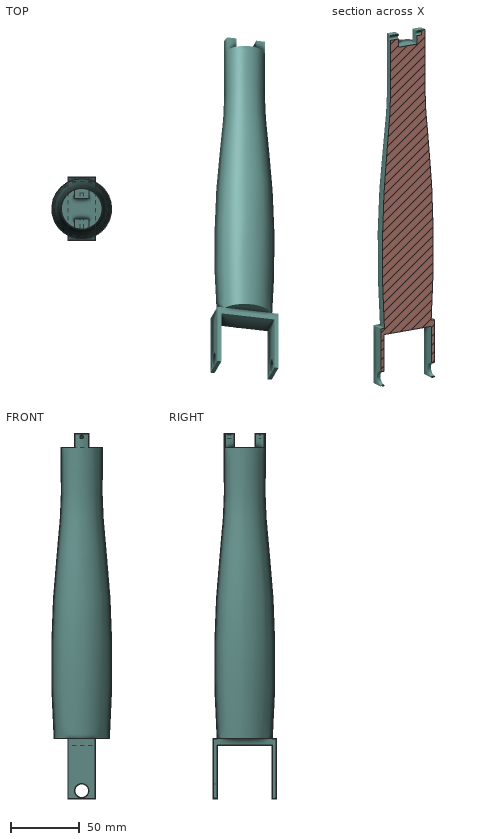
import cadquery as cq

bottom_radius = 20.1
joint_radius = 18.0
collar_radius = 15.0
barrel_length = 133.0
neck_length = 63.0
collar_length = 16.0

bottom_slope = 0.07
joint_slope = -0.111
neck_top_slope = 0.035

prong_height = 10.0
prong_width = 10.5
prong_gap = 15.0
pin_hole_diameter = 2.5
pin_hole_drop = 2.4
pin_blind_depth = 4.0

clevis_width = 20.0
clevis_span = 46.0
clevis_height = 44.0
clevis_leg_thickness = 3.0
clevis_web_thickness = 5.0
clevis_hole_diameter = 10.0
clevis_hole_rise = 6.0

collar_z = barrel_length + neck_length
body_top_z = collar_z + collar_length


def bore_along_y(diameter, z, y_start, y_end):
    """Cylinder along Y between two Y positions, centred on X = 0."""
    return (
        cq.Workplane("XZ", origin=(0, y_start, z))
        .circle(diameter / 2)
        .extrude(y_start - y_end)
    )


def make_body():
    """Revolved handle: convex barrel, concave neck and straight collar."""
    joint = (joint_radius, barrel_length)
    collar = (collar_radius, collar_z)
    bottom_tangent = (bottom_slope, 1)
    joint_tangent = (joint_slope, 1)
    neck_top_tangent = (neck_top_slope, 1)
    return (
        cq.Workplane("XZ")
        .lineTo(bottom_radius, 0)
        .spline([joint], tangents=[bottom_tangent, joint_tangent], includeCurrent=True)
        .spline([collar], tangents=[joint_tangent, neck_top_tangent], includeCurrent=True)
        .lineTo(collar_radius, body_top_z)
        .lineTo(0, body_top_z)
        .close()
        .revolve(360, (0, 0, 0), (0, 1, 0))
    )


def make_prongs():
    """Two blocks whose outer faces follow the collar cylinder."""
    inner_y = prong_gap / 2
    block_depth = collar_radius - inner_y
    block_y = inner_y + block_depth / 2
    top_plane = cq.Workplane("XY", origin=(0, 0, body_top_z))
    blocks = (
        top_plane.pushPoints([(0, -block_y), (0, block_y)])
        .rect(prong_width, block_depth)
        .extrude(prong_height)
    )
    collar_cylinder = top_plane.circle(collar_radius).extrude(prong_height)
    pin_z = body_top_z + prong_height - pin_hole_drop
    pin_hole = bore_along_y(pin_hole_diameter, pin_z, -collar_radius, inner_y + pin_blind_depth)
    return blocks.intersect(collar_cylinder).cut(pin_hole)


def make_clevis():
    """Web under the body with two drilled legs pointing down."""
    base_plane = cq.Workplane("XY", origin=(0, 0, -clevis_height))
    block = base_plane.rect(clevis_width, clevis_span).extrude(clevis_height)
    gap_span = clevis_span - 2 * clevis_leg_thickness
    gap_height = clevis_height - clevis_web_thickness
    gap = base_plane.rect(clevis_width, gap_span).extrude(gap_height)
    hole_z = clevis_hole_rise - clevis_height
    hole = bore_along_y(clevis_hole_diameter, hole_z, -clevis_span / 2, clevis_span / 2)
    return block.cut(gap).cut(hole)


result = make_body().union(make_prongs()).union(make_clevis())